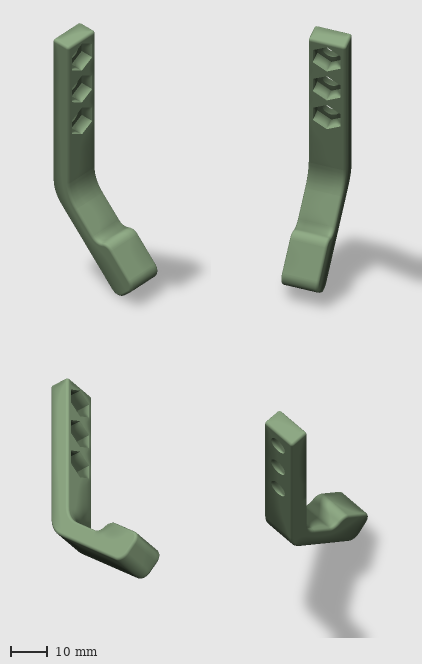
import cadquery as cq
import math

total_height = 75.45
width = 10.7
shank_thickness = 5.95
arm_thickness = 5.3
pad_thickness = 9.35
arm_angle = math.radians(45)

arm_length = 34.2
step_start = 16.0

bend_radius = 10.0
step_radius = 3.0
tip_radius = 3.0
edge_radius = 0.75

hole_diameter = 5.3
hole_count = 3
hole_pitch = 11.0
first_hole_from_top = 6.0
nut_across_flats = 8.0
nut_seat_thickness = 2.0

tip_drop = arm_length * math.sin(arm_angle)
tip_rounding = tip_radius * (math.sqrt(2) - 1)
bend_corner_z = tip_drop - tip_rounding


def arm_point(along, height):
    """XZ point from a distance along the arm and a height above its underside."""
    x = along * math.cos(arm_angle) + height * math.sin(arm_angle)
    z = bend_corner_z - along * math.sin(arm_angle) + height * math.cos(arm_angle)
    return (x, z)


bend_tangent = bend_radius * math.tan(arm_angle / 2)

inner_corner_along = (shank_thickness - arm_thickness * math.sin(arm_angle)) / math.cos(arm_angle)
inner_corner_z = arm_point(inner_corner_along, arm_thickness)[1]

step_rise = pad_thickness - arm_thickness
step_sweep = math.acos(1 - step_rise / (2 * step_radius))
step_run = 2 * step_radius * math.sin(step_sweep)


def make_body():
    """Side profile extruded symmetrically across the width."""
    return (
        cq.Workplane("XZ")
        .moveTo(0, total_height)
        .lineTo(0, bend_corner_z + bend_tangent)
        .tangentArcPoint(arm_point(bend_tangent, 0), relative=False)
        .lineTo(*arm_point(arm_length - tip_radius, 0))
        .tangentArcPoint(arm_point(arm_length, tip_radius), relative=False)
        .lineTo(*arm_point(arm_length, pad_thickness - tip_radius))
        .tangentArcPoint(arm_point(arm_length - tip_radius, pad_thickness), relative=False)
        .lineTo(*arm_point(step_start + step_run, pad_thickness))
        .tangentArcPoint(
            arm_point(step_start + step_run / 2, arm_thickness + step_rise / 2), relative=False
        )
        .tangentArcPoint(arm_point(step_start, arm_thickness), relative=False)
        .lineTo(*arm_point(inner_corner_along + bend_tangent, arm_thickness))
        .tangentArcPoint((shank_thickness, inner_corner_z + bend_tangent), relative=False)
        .lineTo(shank_thickness, total_height)
        .close()
        .extrude(width / 2, both=True)
    )


def round_edges(body):
    """Round the outlines of both side faces and of the top face."""
    return body.faces("<Y or >Y or >Z").edges().fillet(edge_radius)


def place_at_holes(start_x):
    """Workplane facing +X at start_x, with a point on the centre of every hole."""
    centers = [
        (0, total_height - first_hole_from_top - index * hole_pitch) for index in range(hole_count)
    ]
    return cq.Workplane("YZ", origin=(start_x, 0, 0)).pushPoints(centers)


def make_holes():
    """Round cutters running through the shank along X."""
    return place_at_holes(0).circle(hole_diameter / 2).extrude(shank_thickness)


def make_nut_pockets():
    """Hexagonal cutters from the nut seats to the +X face, with corners up and down."""
    corner_radius = nut_across_flats / math.sqrt(3)
    corners = [
        (-corner_radius * math.sin(turn), corner_radius * math.cos(turn))
        for turn in [math.radians(60 * index) for index in range(6)]
    ]
    hexagon = cq.Sketch().polygon(corners + corners[:1])
    return (
        place_at_holes(nut_seat_thickness)
        .placeSketch(hexagon)
        .extrude(shank_thickness - nut_seat_thickness)
    )


result = round_edges(make_body()).cut(make_holes()).cut(make_nut_pockets())